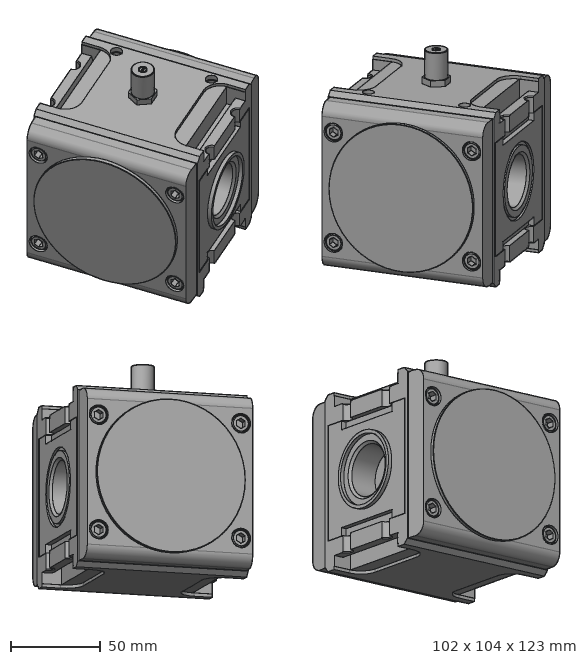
import cadquery as cq
import math

body_width = 100.0
body_depth = 73.9
body_height = 103.1
body_chamfer = 2.8

cover_height = 96.8
cover_end = 49.8
cover_base_inset = 0.7
cover_tip_inset = 1.5
cover_corner_radius = 7.0
disc_diameter = 87.0
overall_depth = 104.0
disc_chamfer = 0.2

screw_spacing_x = 83.4
screw_spacing_z = 65.2
screw_recess_diameter = 11.0
screw_recess_depth = 1.8
screw_head_diameter = 10.0
screw_head_drop = 0.6
screw_head_chamfer = 0.6
screw_hex_flats = 5.0
screw_hex_depth = 4.9

clamp_length = 57.2
shelf_reach = 28.9
shelf_depth = 1.8
shelf_lip = 0.2
shelf_radius = 10.2
groove_wall = 38.5
groove_floor = 37.3
rail_top = 43.4
rail_top_inner = 43.9
rail_foot_inner = 42.5
notch_diameter = 6.6
notch_chamfer = 0.6
notch_spacing = 34.9

panel_width = 68.6
panel_height = 67.2
panel_depth = 0.4
undercut_width = 45.1
undercut_height = 5.0
undercut_depth = 3.7
port_diameter = 30.3
port_rim_diameter = 33.2
port_depth = 18.5
seal_outer = 45.0
seal_inner = 41.0
seal_depth = 1.5
seal_protrusion = 2.0

pin_spacing = 58.0
pin_offset_y = 29.0
pin_rim_diameter = 6.6
pin_rim_depth = 3.0
pin_hole_diameter = 4.9
pin_hole_depth = 12.3
nut_flats = 14.0
nut_height = 3.7
stem_diameter = 13.0
overall_height = 123
stem_length = overall_height - body_height
stem_chamfer = 0.4
needle_bore = 4.9
needle_diameter = 4.0
needle_depth = 0.6
slot_width = 0.9

half_width = body_width / 2
half_depth = body_depth / 2
half_height = body_height / 2
panel_face = half_width - panel_depth


def disk_x(diameter, x_start, length):
    """Cylinder along +X."""
    return cq.Workplane("YZ").workplane(offset=x_start).circle(diameter / 2).extrude(length)


def disk_z(diameter, z_start, length, x=0, y=0):
    """Cylinder along +Z."""
    return cq.Workplane("XY", origin=(x, y, z_start)).circle(diameter / 2).extrude(length)


def hexagon(plane, flats, height):
    """Hexagonal prism with two corners on the local Y axis of the plane."""
    return (
        cq.Workplane(plane)
        .polygon(6, flats / math.cos(math.pi / 6))
        .extrude(height)
        .rotate(plane.origin.toTuple(), (plane.origin + plane.zDir).toTuple(), 30)
    )


def both_sides(shape, plane):
    """A shape together with its mirror image."""
    return shape.union(shape.mirror(plane))


def make_cover():
    """Cover on the -Y face: drafted ends, rounded long edges, raised disc and four screws."""
    base_x = half_width - cover_base_inset
    tip_x = half_width - cover_tip_inset
    outline = [
        (-base_x, -half_depth),
        (-tip_x, -cover_end),
        (tip_x, -cover_end),
        (base_x, -half_depth),
    ]
    block = (
        cq.Workplane("XY")
        .polyline(outline)
        .close()
        .extrude(cover_height / 2, both=True)
    )
    block = block.faces("<Y").edges("|X").fillet(cover_corner_radius)
    disc = (
        cq.Workplane("XZ", origin=(0, -half_depth, 0))
        .circle(disc_diameter / 2)
        .extrude(overall_depth / 2 - half_depth)
        .faces("<Y")
        .chamfer(disc_chamfer)
    )
    cover = block.union(disc)
    for sign_x in (-1, 1):
        for sign_z in (-1, 1):
            center = cq.Vector(sign_x * screw_spacing_x / 2, -cover_end, sign_z * screw_spacing_z / 2)
            cover = cover.cut(make_screw_recess(center))
    return cover


def make_screw_recess(center):
    """Round recess around a bevelled screw head, with the hexagon socket in the head."""
    face = cq.Plane(origin=center, xDir=(1, 0, 0), normal=(0, 1, 0))
    recess = cq.Workplane(face).circle(screw_recess_diameter / 2).extrude(screw_recess_depth)
    head = (
        cq.Workplane(face)
        .workplane(offset=screw_head_drop)
        .circle(screw_head_diameter / 2)
        .extrude(screw_recess_depth - screw_head_drop)
        .faces("<Y")
        .chamfer(screw_head_chamfer)
    )
    return recess.cut(head).union(hexagon(face, screw_hex_flats, screw_head_drop + screw_hex_depth))


def make_clamp_cut():
    """Material removed around the clamping rail at the upper -X edge."""
    shelf_floor = half_height - shelf_depth
    shelf_end = half_width + shelf_radius
    shelf = (
        cq.Workplane("XY", origin=(-(shelf_reach + shelf_end) / 2, 0, shelf_floor))
        .rect(shelf_end - shelf_reach, clamp_length)
        .extrude(shelf_depth)
        .edges("|Z and >X")
        .fillet(shelf_radius)
    )
    rail_space = (
        cq.Workplane("XZ")
        .polyline(
            [
                (-groove_wall, shelf_floor),
                (-groove_wall, groove_floor),
                (-rail_foot_inner, groove_floor),
                (-rail_top_inner, rail_top),
                (-half_width, rail_top),
                (-half_width, shelf_floor),
            ]
        )
        .close()
        .extrude(clamp_length / 2 - shelf_lip, both=True)
    )
    cut = shelf.union(rail_space)
    notch_foot = panel_height / 2
    for sign in (-1, 1):
        notch_y = sign * notch_spacing / 2
        notch = disk_z(notch_diameter, notch_foot, rail_top - notch_foot, -half_width, notch_y)
        rim = (
            cq.Workplane("XY", origin=(-half_width, notch_y, rail_top))
            .circle(notch_diameter / 2 + notch_chamfer)
            .extrude(-notch_chamfer, taper=45)
        )
        cut = cut.union(notch).union(rim)
    undercut = (
        cq.Workplane("XY", origin=(-half_width, 0, notch_foot - undercut_height))
        .box(undercut_depth, undercut_width, undercut_height, centered=(False, True, False))
    )
    return cut.union(undercut)


def make_port_cut():
    """Panel recess and chamfered blind port on the -X side."""
    panel = cq.Workplane("XY").box(panel_depth, panel_width, panel_height, centered=(False, True, True))
    port = disk_x(port_diameter, -half_width, port_depth)
    rim_depth = (port_rim_diameter - port_diameter) / 2
    rim = (
        cq.Workplane("YZ", origin=(-panel_face, 0, 0))
        .circle(port_rim_diameter / 2)
        .extrude(rim_depth, taper=45)
    )
    return panel.translate((-half_width, 0, 0)).union(port).union(rim)


def make_seal_ring(x_start, length):
    """Annular seal: a groove on the -X side, a protruding ring on the +X side."""
    return disk_x(seal_outer, x_start, length).cut(disk_x(seal_inner, x_start, length))


def make_body():
    """Chamfered block with clamping rails, ports and the two stepped pin holes on top."""
    body = cq.Workplane("XY").box(body_width, body_depth, body_height).edges("|X").chamfer(body_chamfer)
    body = body.cut(both_sides(both_sides(make_clamp_cut(), "XY"), "YZ"))
    body = body.cut(both_sides(make_port_cut(), "YZ"))
    body = body.cut(make_seal_ring(-panel_face, seal_depth))
    body = body.union(make_seal_ring(panel_face, panel_depth + seal_protrusion))
    for sign in (-1, 1):
        x = sign * pin_spacing / 2
        body = body.cut(disk_z(pin_rim_diameter, half_height, -pin_rim_depth, x, pin_offset_y))
        body = body.cut(disk_z(pin_hole_diameter, half_height, -pin_hole_depth, x, pin_offset_y))
    return body


def make_valve():
    """Bleed valve: hexagonal nut, round stem and slotted needle."""
    seat = cq.Plane(origin=(0, 0, half_height))
    nut = hexagon(seat, nut_flats, nut_height)
    stem_top = half_height + stem_length
    stem = disk_z(stem_diameter, half_height, stem_length).faces(">Z").chamfer(stem_chamfer)
    gap = disk_z(needle_bore, stem_top, -needle_depth).cut(disk_z(needle_diameter, stem_top, -needle_depth))
    slot = cq.Workplane("XY").box(slot_width, needle_diameter, needle_depth, centered=(True, True, False))
    return nut.union(stem).cut(gap).cut(slot.translate((0, 0, stem_top - needle_depth)))


result = make_body().union(both_sides(make_cover(), "XZ")).union(make_valve())